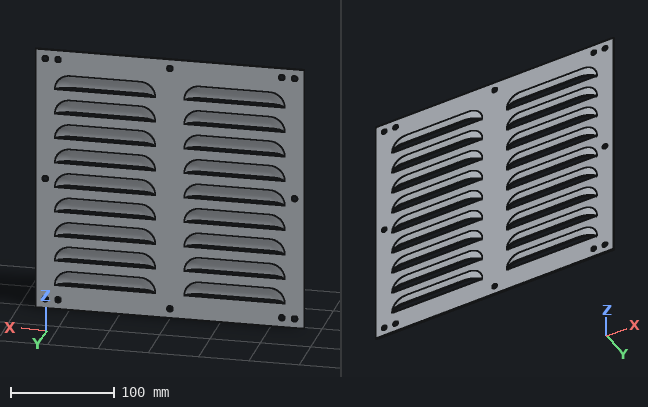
import cadquery as cq
import math

plate_width = 266.7
plate_height = 268.22
overall_depth = 8.97
plate_thickness = 1.82

louver_rows = 9
louver_row_pitch = 25.4
louver_column_pitch = 128.5875
louver_height = 15.875
louver_straight_length = 69.85
louver_wall = plate_thickness
louver_projection = overall_depth - plate_thickness

hood_radius = (louver_height**2 + louver_projection**2) / (2 * louver_projection)
hood_center_y = hood_radius - louver_projection

hole_diameter = 5.6
hole_edge_distance = 9.525
corner_hole_spacing = 12.7


def hood_section(workplane, point, radius):
    """Closed half section of a hood, from the back of the plate out to an arc of the given radius.

    point(y, reach) turns a Y position and a distance from the hood axis into workplane coordinates.
    """
    back_distance = hood_center_y - plate_thickness
    full_angle = math.acos(back_distance / radius)
    arc_start = point(hood_center_y - radius, 0)
    arc_middle = point(
        hood_center_y - radius * math.cos(full_angle / 2),
        radius * math.sin(full_angle / 2),
    )
    arc_end = point(plate_thickness, radius * math.sin(full_angle))
    return (
        workplane.moveTo(*point(plate_thickness, 0))
        .lineTo(*arc_start)
        .threePointArc(arc_middle, arc_end)
        .close()
    )


def make_hood(radius):
    """Solid hood: a straight arched middle and a quarter-turn dome at each end, mouth at Z = 0."""
    half_length = louver_straight_length / 2
    middle_section = hood_section(cq.Workplane("YZ"), lambda y, reach: (y, reach), radius)
    middle = middle_section.extrude(half_length, both=True)
    dome_section = hood_section(cq.Workplane("XY"), lambda y, reach: (reach, y), radius)
    right_dome = dome_section.revolve(90, (0, 0, 0), (0, -1, 0)).translate((half_length, 0, 0))
    left_dome = right_dome.mirror("YZ")
    return middle.union(right_dome).union(left_dome)


def louver_positions():
    """Middle of each louver mouth on the plate front; the grid is centred on the plate."""
    lowest_z = -((louver_rows - 1) * louver_row_pitch + louver_height) / 2
    return [
        (side * louver_column_pitch / 2, 0, lowest_z + row * louver_row_pitch)
        for side in (-1, 1)
        for row in range(louver_rows)
    ]


def hole_positions():
    """X and Z of the rim holes: five along the top and bottom, one halfway up each side."""
    outer_x = plate_width / 2 - hole_edge_distance
    inner_x = outer_x - corner_hole_spacing
    outer_z = plate_height / 2 - hole_edge_distance
    row_x = (-outer_x, -inner_x, 0, inner_x, outer_x)
    row_holes = [(x, z) for x in row_x for z in (-outer_z, outer_z)]
    side_holes = [(-outer_x, 0), (outer_x, 0)]
    return row_holes + side_holes


def make_plate():
    """Flat plate with its rim holes."""
    blank = cq.Workplane("XZ").rect(plate_width, plate_height).extrude(-plate_thickness)
    holes = (
        cq.Workplane("XZ")
        .pushPoints(hole_positions())
        .circle(hole_diameter / 2)
        .extrude(-plate_thickness)
    )
    return blank.cut(holes)


def add_louvers(panel):
    """Add the hoods and hollow each one through the back of the plate."""
    hood = make_hood(hood_radius)
    cavity = make_hood(hood_radius - louver_wall)
    for position in louver_positions():
        panel = panel.union(hood.translate(position)).cut(cavity.translate(position))
    return panel


result = add_louvers(make_plate())